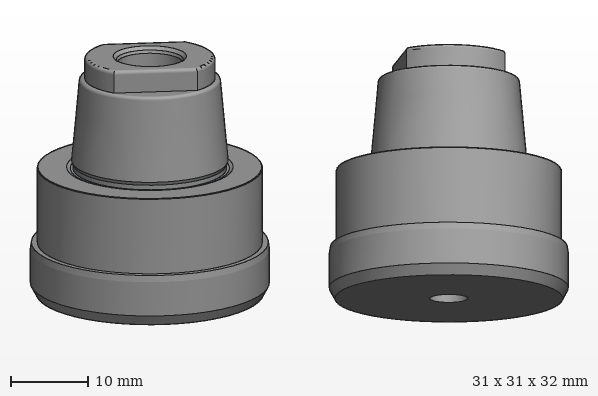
import cadquery as cq

HEIGHT = 31.95
FLANGE_DIAMETER = 31.02
FLANGE_RADIUS = FLANGE_DIAMETER / 2

BASE_RADIUS = 14.75
BASE_CHAMFER_HEIGHT = 1.4
FLANGE_EDGE_Z = 5.95
FLANGE_TOP_Z = 6.85
FLANGE_TOP_RADIUS = 15.37

BODY_RADIUS = 14.6
BODY_TOP_Z = 17.0
BODY_CHAMFER = 0.1

GROOVE_RADIUS = 10.8
GROOVE_FLOOR_RADIUS = 10.32
GROOVE_DEPTH = 0.15
NECK_FOOT_RADIUS = 9.97
NECK_BASE_RADIUS = 10.15
NECK_STRAIGHT_Z = 17.45
NECK_BASE_Z = 17.9
NECK_TOP_Z = 29.05
NECK_TOP_RADIUS = 9.15
NECK_ROUND = 0.48

HEAD_RADIUS = 8.47
HEAD_ROUND = 0.48
FLAT_DISTANCE = 6.5
FLAT_ANGLE = 60.0

MOUTH_RADIUS = 4.75
MOUTH_FOOT_RADIUS = 4.35
MOUTH_DEPTH = 0.45
COUNTERBORE_RADIUS = 4.2
LEAD_IN_DEPTH = 0.83
COUNTERBORE_DEPTH = 3.65
MIDDLE_RADIUS = 3.5
MIDDLE_START_DEPTH = 4.12
MIDDLE_END_DEPTH = 14.38
THROUGH_RADIUS = 2.5
DRILL_CONE_HEIGHT = 0.6


def revolve_profile(points):
    """Revolve a closed (radius, height) outline around the Z axis."""
    outline = cq.Workplane("XZ").polyline(points).close()
    return outline.revolve(360, (0, 0, 0), (0, 1, 0))


def make_body():
    """Flange, cylinder and tapered neck."""
    body = revolve_profile([
        (0, 0),
        (BASE_RADIUS, 0),
        (FLANGE_RADIUS, BASE_CHAMFER_HEIGHT),
        (FLANGE_RADIUS, FLANGE_EDGE_Z),
        (FLANGE_TOP_RADIUS, FLANGE_TOP_Z),
        (BODY_RADIUS, FLANGE_TOP_Z),
        (BODY_RADIUS, BODY_TOP_Z - BODY_CHAMFER),
        (BODY_RADIUS - BODY_CHAMFER, BODY_TOP_Z),
        (GROOVE_RADIUS, BODY_TOP_Z),
        (GROOVE_FLOOR_RADIUS, BODY_TOP_Z - GROOVE_DEPTH),
        (NECK_FOOT_RADIUS, BODY_TOP_Z - GROOVE_DEPTH),
        (NECK_FOOT_RADIUS, NECK_STRAIGHT_Z),
        (NECK_BASE_RADIUS, NECK_BASE_Z),
        (NECK_TOP_RADIUS, NECK_TOP_Z),
        (0, NECK_TOP_Z),
    ])
    return body.faces(">Z").edges().fillet(NECK_ROUND)


def make_head():
    """Round head trimmed by two parallel flats, with a rounded top rim."""
    head_height = HEIGHT - NECK_TOP_Z
    head = cq.Workplane("XY").circle(HEAD_RADIUS).extrude(head_height)
    slab = cq.Workplane("XY").rect(2 * HEAD_RADIUS, 2 * FLAT_DISTANCE)
    head = head.intersect(slab.extrude(head_height))
    head = head.faces(">Z").edges().fillet(HEAD_ROUND)
    head = head.rotate((0, 0, 0), (0, 0, 1), FLAT_ANGLE)
    return head.translate((0, 0, NECK_TOP_Z))


def make_bore():
    """Stepped through bore with a countersunk mouth."""
    return revolve_profile([
        (0, 0),
        (THROUGH_RADIUS, 0),
        (THROUGH_RADIUS, HEIGHT - MIDDLE_END_DEPTH - DRILL_CONE_HEIGHT),
        (MIDDLE_RADIUS, HEIGHT - MIDDLE_END_DEPTH),
        (MIDDLE_RADIUS, HEIGHT - MIDDLE_START_DEPTH),
        (COUNTERBORE_RADIUS, HEIGHT - COUNTERBORE_DEPTH),
        (COUNTERBORE_RADIUS, HEIGHT - LEAD_IN_DEPTH),
        (MOUTH_FOOT_RADIUS, HEIGHT - MOUTH_DEPTH),
        (MOUTH_RADIUS, HEIGHT),
        (0, HEIGHT),
    ])


result = make_body().union(make_head()).cut(make_bore())